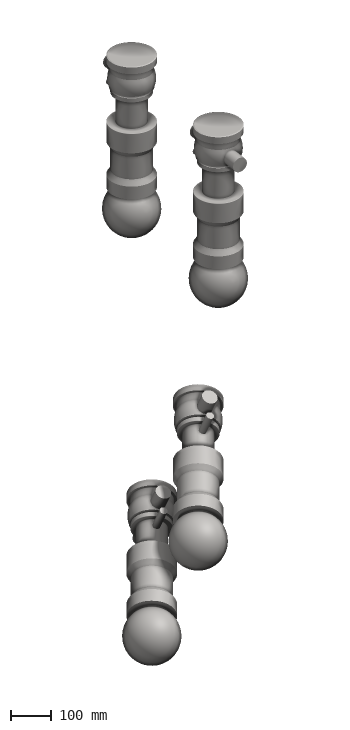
import cadquery as cq
import math

SPACING = 400.0

BALL_D = 145.0
BALL_FLAT_D = 94.0
BALL_TOP = math.sqrt((BALL_D / 2) ** 2 - (BALL_FLAT_D / 2) ** 2)

FLANGE_D = 124.0
COUPLING_D = 105.0
TUBE_D = 79.0

EDGE_RADIUS = 1.0

SEAT_TOP_D = 90.0
SEAT_BOTTOM_D = 68.5
SEAT_H = 6.0
LOWER_END_H = 36.0
SHOULDER_H = 15.0
WAIST_H = 64.0
UPPER_END_H = 47.0
WAIST_D = COUPLING_D
SLEEVE_BOTTOM = BALL_TOP + SEAT_H
LOWER_SHOULDER = SLEEVE_BOTTOM + LOWER_END_H
WAIST_BOTTOM = LOWER_SHOULDER + SHOULDER_H
WAIST_TOP = WAIST_BOTTOM + WAIST_H
UPPER_SHOULDER = WAIST_TOP + SHOULDER_H
SLEEVE_TOP = UPPER_SHOULDER + UPPER_END_H

BASE_FLANGE_H = 8.5
SHAFT_H = 82.0
COUPLING_HALF_H = 6.0
BASE_FLANGE_TOP = SLEEVE_TOP + BASE_FLANGE_H
COUPLING_BOTTOM = BASE_FLANGE_TOP + SHAFT_H
COUPLING_JOINT = COUPLING_BOTTOM + COUPLING_HALF_H
DRAIN_D = 20.0
DRAIN_REACH = 102.5
DRAIN_BELOW_COUPLING = 18.5
DRAIN_Z = COUPLING_BOTTOM - DRAIN_BELOW_COUPLING

THROAT_D = 94.0
THROAT_H = 5.0
BOWL_D = 120.0
BOWL_BELOW_CENTRE = 21.5
BOWL_RIM_H = 2.0
COLLAR_D = 109.0
COLLAR_H = 21.0
LID_H = 20.0
LID_CHAMFER_WIDTH = 3.0
LID_CHAMFER_HEIGHT = 1.0
COUPLING_TOP = COUPLING_JOINT + COUPLING_HALF_H
BOWL_BOTTOM = COUPLING_TOP + THROAT_H
BOWL_CENTRE = BOWL_BOTTOM + BOWL_RIM_H + BOWL_BELOW_CENTRE
BOWL_RIM_R = math.sqrt((BOWL_D / 2) ** 2 - BOWL_BELOW_CENTRE ** 2)
COLLAR_BOTTOM = BOWL_CENTRE + math.sqrt((BOWL_D / 2) ** 2 - (COLLAR_D / 2) ** 2)
LID_BOTTOM = COLLAR_BOTTOM + COLLAR_H
LID_TOP = LID_BOTTOM + LID_H
PORT_D = 40.0
PORT_REACH = SPACING / 4


def cylinder(diameter, bottom, top):
    """Upright cylinder on the Z axis."""
    return cq.Workplane("XY").workplane(offset=bottom).circle(diameter / 2).extrude(top - bottom)


def side_pipe(diameter, height, reach):
    """Horizontal pipe from the Z axis; a negative reach points toward -X."""
    return cq.Workplane("YZ").center(0, height).circle(diameter / 2).extrude(reach)


def round_step(body, diameter, height):
    """Fillet the circular inner corner of the given diameter at the given height."""
    reach = diameter / 2 + EDGE_RADIUS
    corner = cq.selectors.BoxSelector(
        (-reach, -reach, height - EDGE_RADIUS / 2),
        (reach, reach, height + EDGE_RADIUS / 2),
        boundingbox=True,
    )
    return body.edges("%CIRCLE").edges(corner).fillet(EDGE_RADIUS)


def make_ball():
    """Ball with a flat top."""
    return (
        cq.Workplane("XZ")
        .moveTo(0, -BALL_D / 2)
        .threePointArc((BALL_D / 2, 0), (BALL_FLAT_D / 2, BALL_TOP))
        .lineTo(0, BALL_TOP)
        .close()
        .revolve(360, (0, 0), (0, 1))
    )


def make_sleeve():
    """Waisted sleeve, with a cone underneath that rests on the ball."""
    outline = [
        (0, BALL_TOP),
        (SEAT_BOTTOM_D / 2, BALL_TOP),
        (SEAT_TOP_D / 2, SLEEVE_BOTTOM),
        (FLANGE_D / 2, SLEEVE_BOTTOM),
        (FLANGE_D / 2, LOWER_SHOULDER),
        (WAIST_D / 2, WAIST_BOTTOM),
        (WAIST_D / 2, WAIST_TOP),
        (FLANGE_D / 2, UPPER_SHOULDER),
        (FLANGE_D / 2, SLEEVE_TOP),
        (0, SLEEVE_TOP),
    ]
    return cq.Workplane("XZ").polyline(outline).close().revolve(360, (0, 0), (0, 1))


def make_tube():
    """Flanged tube with a thin drain pipe on its -X side."""
    flange = cylinder(FLANGE_D, SLEEVE_TOP, BASE_FLANGE_TOP).faces(">Z").edges().fillet(EDGE_RADIUS)
    shaft = cylinder(TUBE_D, SLEEVE_TOP, COUPLING_JOINT)
    ring = cylinder(COUPLING_D, COUPLING_BOTTOM, COUPLING_JOINT).faces("<Z").edges().fillet(EDGE_RADIUS)
    tube = flange.union(shaft).union(ring)
    tube = round_step(tube, TUBE_D, BASE_FLANGE_TOP)
    tube = round_step(tube, TUBE_D, COUPLING_BOTTOM)
    return tube.union(side_pipe(DRAIN_D, DRAIN_Z, -DRAIN_REACH))


def make_bowl():
    """Slice of a sphere, with a narrow straight rim at its lower edge."""
    return (
        cq.Workplane("XZ")
        .moveTo(0, BOWL_BOTTOM)
        .lineTo(BOWL_RIM_R, BOWL_BOTTOM)
        .lineTo(BOWL_RIM_R, BOWL_BOTTOM + BOWL_RIM_H)
        .threePointArc((BOWL_D / 2, BOWL_CENTRE), (COLLAR_D / 2, COLLAR_BOTTOM))
        .lineTo(0, COLLAR_BOTTOM)
        .close()
        .revolve(360, (0, 0), (0, 1))
    )


def make_lid():
    """Flat disc with a shallow chamfer around its top face."""
    outline = [
        (0, LID_BOTTOM),
        (FLANGE_D / 2, LID_BOTTOM),
        (FLANGE_D / 2, LID_TOP - LID_CHAMFER_HEIGHT),
        (FLANGE_D / 2 - LID_CHAMFER_WIDTH, LID_TOP),
        (0, LID_TOP),
    ]
    return cq.Workplane("XZ").polyline(outline).close().revolve(360, (0, 0), (0, 1))


def make_head(port_sides):
    """Lidded head with one port for each sign of X in port_sides."""
    ring = cylinder(COUPLING_D, COUPLING_JOINT, COUPLING_TOP)
    throat = cylinder(THROAT_D, COUPLING_JOINT, BOWL_BOTTOM)
    collar = cylinder(COLLAR_D, COLLAR_BOTTOM, LID_BOTTOM)
    lid = make_lid()
    head = ring.union(throat).union(make_bowl()).union(collar).union(lid)
    head = round_step(head, THROAT_D, COUPLING_TOP)
    head = round_step(head, COLLAR_D, LID_BOTTOM)
    for side in port_sides:
        head = head.union(side_pipe(PORT_D, BOWL_CENTRE, side * PORT_REACH))
    return head


PORT_LAYOUTS = [(-1,), (-1, 1)]

bodies = []
for index, port_sides in enumerate(PORT_LAYOUTS):
    for body in (make_ball(), make_sleeve(), make_tube(), make_head(port_sides)):
        bodies.append(body.translate((index * SPACING, 0, 0)).val())

result = cq.Compound.makeCompound(bodies)